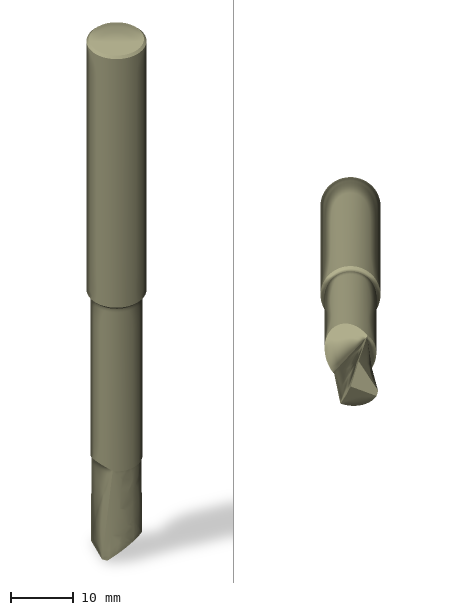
import cadquery as cq
import math

total_length = 101.6
shank_diameter = 9.5
shank_start = 50.8
end_chamfer = 0.4
neck_radius = 4.11
shank_taper_length = 0.7

blade_length = 18.3
root_radius = 4.0
tip_radius = 4.5
root_rake_angle = 26.0
tip_rake_angle = 1.0
root_flank_angle = 286.0
tip_flank_angle = 263.0
rake_ramp_slope = 1.1
flank_ramp_slope = 0.8

end_relief = 0.5
corner_height = 4.4
corner_inner_x = -0.1
relief_cut_depth = 1.0


def on_circle(radius, angle):
    """Point on a circle about Z, with the angle in degrees from +X."""
    return (radius * math.cos(math.radians(angle)), radius * math.sin(math.radians(angle)))


def blade_section(plane, radius, rake_angle, flank_angle):
    """Half-round section with a flank flat beside the cutting edge."""
    back_angle = (flank_angle + rake_angle + 360) / 2
    return (
        plane.moveTo(*on_circle(radius, rake_angle + 180))
        .lineTo(*on_circle(radius, flank_angle))
        .threePointArc(on_circle(radius, back_angle), on_circle(radius, rake_angle))
        .close()
    )


def make_blade():
    tip = blade_section(cq.Workplane("XY"), tip_radius, tip_rake_angle, tip_flank_angle)
    root_plane = tip.workplane(offset=blade_length)
    root = blade_section(root_plane, root_radius, root_rake_angle, root_flank_angle)
    return root.loft(ruled=True, combine=True)


def make_run_out(normal_angle, distance, slope):
    """Wedge that bevels the neck's lower end outward from a vertical face."""
    reach = shank_diameter
    along = cq.Vector(*on_circle(1, normal_angle), 0)
    plane = cq.Plane(
        origin=(along * distance + cq.Vector(0, 0, blade_length)).toTuple(),
        xDir=along.toTuple(),
        normal=cq.Vector(*on_circle(1, normal_angle - 90), 0).toTuple(),
    )
    return (
        cq.Workplane(plane)
        .polyline([(0, 0), (reach, 0), (reach, reach * slope)])
        .close()
        .extrude(reach, both=True)
    )


def make_neck():
    neck = (
        cq.Workplane("XY", origin=(0, 0, blade_length))
        .circle(neck_radius)
        .extrude(shank_start - blade_length)
    )
    flank_half_span = (root_flank_angle - root_rake_angle - 180) / 2
    flank_distance = root_radius * math.cos(math.radians(flank_half_span))
    flank_normal = root_rake_angle + 180 + flank_half_span
    neck = neck.cut(make_run_out(root_rake_angle + 90, 0, rake_ramp_slope))
    return neck.cut(make_run_out(flank_normal, flank_distance, flank_ramp_slope))


def make_shank():
    shank_radius = shank_diameter / 2
    return (
        cq.Workplane("XZ")
        .moveTo(0, shank_start)
        .lineTo(neck_radius, shank_start)
        .lineTo(shank_radius, shank_start + shank_taper_length)
        .lineTo(shank_radius, total_length - end_chamfer)
        .lineTo(shank_radius - end_chamfer, total_length)
        .lineTo(0, total_length)
        .close()
        .revolve(360, (0, 0, 0), (0, 1, 0))
    )


def make_end_relief():
    """Wedge below the sloping end face."""
    return (
        cq.Workplane("YZ")
        .polyline([(0, 0), (-tip_radius, end_relief), (-tip_radius, -relief_cut_depth), (0, -relief_cut_depth)])
        .close()
        .extrude(shank_diameter, both=True)
    )


def make_corner_cut():
    """Wedge that bevels the trailing corner of the tip."""
    return (
        cq.Workplane("XZ")
        .polyline([(corner_inner_x, 0), (tip_radius, corner_height), (tip_radius, 0)])
        .close()
        .extrude(shank_diameter, both=True)
    )


blade = make_blade().cut(make_end_relief()).cut(make_corner_cut())
result = make_shank().union(make_neck()).union(blade)